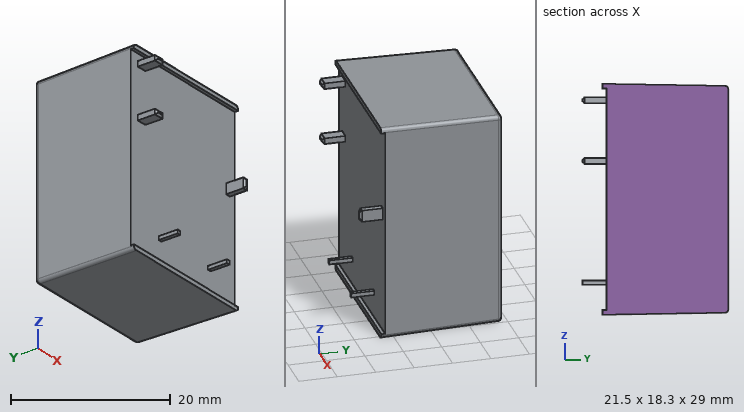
import cadquery as cq
import math

case_width = 21.5
case_height = 29.0
case_depth = 15.8
draft_angle = 0.95
edge_radius = 0.5

base_setback = 0.5
lip_thickness = 0.65

pin_reach = 2.5
pin_embed = 0.5
blade_length = 1.55
blade_thickness = 0.8
blade_tip_chamfer = 0.3
contact_x = -8.5
contact_heights = (12.4, 4.8)
common_x = 9.3
common_z = 2.25
coil_pin_size = 0.55
coil_pin_pitch = 10.16
coil_center_x = 0.38
coil_z = -10.45


def tapered_case():
    """Drafted box with its side and back edges rounded."""
    shrink = case_depth * math.tan(math.radians(draft_angle))
    rim = cq.Workplane("XZ").rect(case_width, case_height)
    back_width = case_width - 2 * shrink
    back_height = case_height - 2 * shrink
    box = rim.workplane(offset=-case_depth).rect(back_width, back_height).loft(ruled=True)
    return box.faces("not <Y").edges("not <Y").fillet(edge_radius)


def base_recess():
    """Full-width channel that leaves a lip along the top and bottom of the rim."""
    gap = case_height - 2 * lip_thickness
    return cq.Workplane("XY").box(2 * case_width, 2 * base_setback, gap)


def pin(x, z, size_x, size_z):
    """Square-ended pin running along Y from inside the base to the pin tips."""
    length = pin_reach + base_setback + pin_embed
    center_y = length / 2 - pin_reach
    return cq.Workplane("XY").box(size_x, length, size_z).translate((x, center_y, z))


def blade(x, z, size_x, size_z):
    """Flat pin with a chamfer all round its tip."""
    return pin(x, z, size_x, size_z).faces("<Y").chamfer(blade_tip_chamfer)


result = tapered_case().cut(base_recess())

for contact_z in contact_heights:
    result = result.union(blade(contact_x, contact_z, blade_length, blade_thickness))

result = result.union(blade(common_x, common_z, blade_thickness, blade_length))

for side in (-1, 1):
    coil_x = coil_center_x + side * coil_pin_pitch / 2
    result = result.union(pin(coil_x, coil_z, coil_pin_size, coil_pin_size))